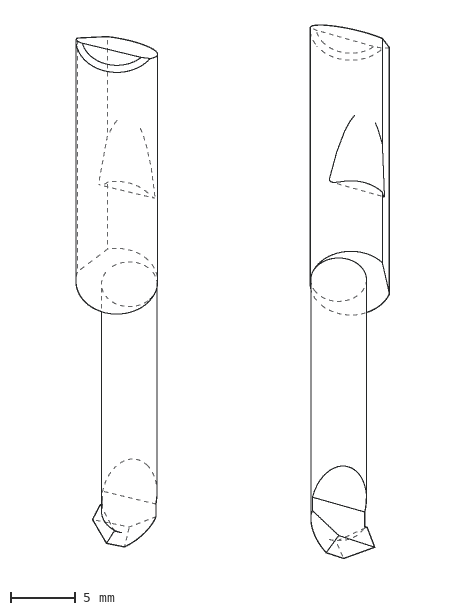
import cadquery as cq
import math

length = 63.5
shank_radius = 3.2
shank_bottom = 31.75
neck_radius = 2.15
neck_x = shank_radius - neck_radius

flat_angle = 150.0
flat_distance = shank_radius * math.cos(math.radians(30))
rim_inset = 0.45
rim_height = 0.3
slope_height = 4.5
notch_top = 49.2
notch_bottom = 40.45
notch_floor_y = 1.85
notch_fillet = 0.75

head_height = 2.2
rake_top = 4.0
tip_x = -1.95
flank_lean = 0.65
flank_relief = 1.8
end_rise_x = 0.2
end_relief = 0.25


def side_prism(points):
    """Prism across X from (Y, Z) points, wider than the part."""
    return cq.Workplane("YZ").polyline(points).close().extrude(2 * shank_radius, both=True)


def make_shank():
    shank = (
        cq.Workplane("XY").workplane(offset=shank_bottom)
        .circle(shank_radius).extrude(length - shank_bottom)
        .faces(">Z").chamfer(rim_height, rim_inset)
    )
    flat_cutter = (
        cq.Workplane("XY")
        .box(shank_radius, 4 * shank_radius, length, centered=(False, True, False))
        .translate((flat_distance, 0, 0))
        .rotate((0, 0, 0), (0, 0, 1), flat_angle)
        .translate((0, 0, shank_bottom))
    )
    slope_cutter = side_prism([
        (shank_radius, length - slope_height),
        (shank_radius, length),
        (shank_radius - slope_height, length),
    ])
    notch_cutter = side_prism([
        (shank_radius, notch_top),
        (notch_floor_y, notch_bottom),
        (shank_radius, notch_bottom),
    ]).edges("<Y").fillet(notch_fillet)
    return shank.cut(flat_cutter).cut(slope_cutter).cut(notch_cutter)


def make_neck():
    neck = cq.Workplane("XY").center(neck_x, 0).circle(neck_radius).extrude(shank_bottom)
    rake_cutter = side_prism([
        (0, 0),
        (0, rake_top),
        (shank_radius, rake_top + shank_radius),
        (shank_radius, 0),
    ])
    end_cutter = (
        cq.Workplane("XZ")
        .polyline([
            (-shank_radius, 0),
            (-shank_radius, head_height),
            (neck_x, head_height),
            (neck_x, end_rise_x),
            (shank_radius, end_rise_x + neck_radius),
            (shank_radius, 0),
        ]).close().extrude(shank_radius, both=True)
    )
    relief_cutter = side_prism([
        (0, 0),
        (0, end_rise_x),
        (-neck_radius, end_rise_x + end_relief),
        (-neck_radius, 0),
    ])
    return neck.cut(rake_cutter).cut(end_cutter).cut(relief_cutter)


def head_outline(workplane, flank_shift, end_shift):
    """Head section with its flank moved towards +X and its end face raised."""
    end_slope = end_rise_x / (neck_x - tip_x)
    corner_x = tip_x + flank_shift
    return workplane.polyline([
        (corner_x, end_shift + end_slope * flank_shift),
        (corner_x + flank_lean, head_height),
        (neck_x, head_height),
        (neck_x, end_shift + end_rise_x),
    ]).close()


def make_head():
    rake_section = head_outline(cq.Workplane("XZ"), 0, 0)
    relieved_section = rake_section.workplane(offset=neck_radius)
    return head_outline(relieved_section, flank_relief, end_relief).loft(ruled=True)


result = make_shank().union(make_neck()).union(make_head())